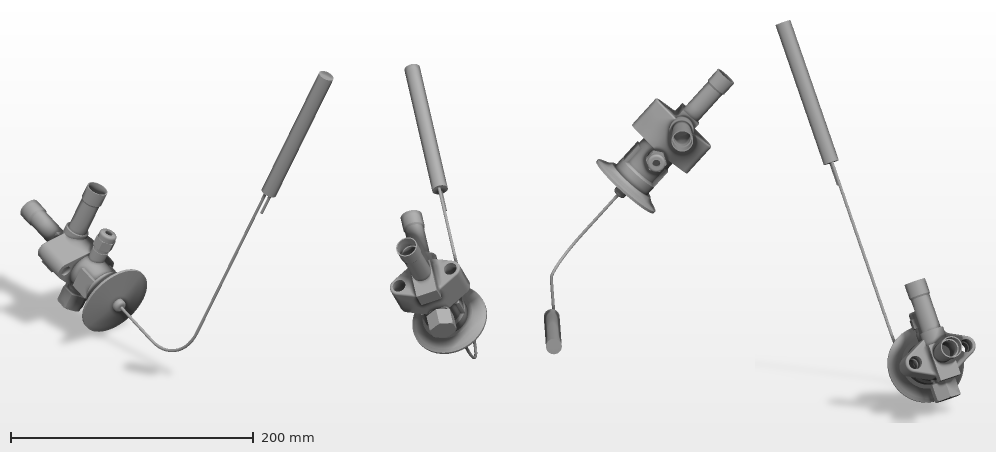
import cadquery as cq
import math

TILT = 16.4

TUBE_OD = 16.0
TUBE_BORE = 14.0
CUP_OD = 18.0
CUP_LENGTH = 12.0
CUP_TAPER = 1.5
INLET_END = 55.5
OUTLET_END = 63.7
BORE_FLOOR = 9.0

FLANGE_FRONT = -3.5
FLANGE_SPLIT = 13.5
FLANGE_BACK = 26.7
FLANGE_EDGE_FILLET = 1.5
HUB_RADIUS = 18.5
EAR_RADIUS = 8.2
EAR_OFFSET = 22.5
SCREW_CLEARANCE = 11.0
SCREW_CORE = 9.0

BLOCK_FRONT = -11.8
BLOCK_BACK = 2.5
BLOCK_WIDTH = 17.5
BLOCK_BOTTOM = -21.2
BLOCK_TOP = 9.7
BLOCK_ROOT_FILLET = 3.0
EDGE_SEARCH = 0.3
COLLAR_OD = 20.0
COLLAR_TOP = 21.2

BODY_OD = 32.0
PAD_FRONT = 35.0
PAD_HEIGHT = 18.2
PAD_WIDTH = 33.5

SHOULDER_OD = 35.8
SHOULDER_START = 50.7
SHOULDER_FULL = 52.8
DISH_ROOT = 61.5
DISH_ROOT_RADIUS = 21.2
DISH_EDGE_RADIUS = 29.0
DISH_SAG = 0.45
RIM_OD = 63.7
RIM_SLOPE = 1.2
RIM_FRONT = 66.0
RIM_BACK = 69.5
CROWN = 72.8
NUB_OD = 10.5
NUB_END = 78.3
NUB_FILLET = 2.5

NUT_X = 27.3
NUT_FLATS = 20.3
NUT_TOP = -20.5
NUT_BOTTOM = -35.2
NUT_CHAMFER = 1.0
NUT_BOSS_OD = 18.0
NUT_BOSS_END = -18.2
NUT_NECK_OD = 16.0

FLARE_X = 31.5
FLARE_BOSS_OD = 14.0
FLARE_BOSS_TOP = 24.3
FLARE_NECK_OD = 12.7
FLARE_HEX_BOTTOM = 28.0
FLARE_HEX_FLATS = 15.2
FLARE_HEX_TOP = 36.0
FLARE_TIP = 42.0
FLARE_TIP_OD = 15.0
FLARE_TIP_FILLET = 2.0
FLARE_HOLE = 6.5
FLARE_HOLE_DEPTH = 9.0

CAPILLARY_OD = 2.5
CAPILLARY_X = 161.5
BEND_RADIUS = 38.8
BULB_OD = 13.0
BULB_X = 164.0
BULB_BOTTOM = 187.5
BULB_LENGTH = 122.3
STUB_LENGTH = 19.5
JOINT_OVERLAP = 3.0


def upright(diameter, start, end, x=0.0):
    """Vertical cylinder standing at the given place on the valve axis."""
    return cq.Workplane("XY", origin=(x, 0, start)).circle(diameter / 2).extrude(end - start)


def axial(diameter, start, end, y=0.0):
    """Cylinder parallel to the valve axis."""
    return cq.Workplane("YZ", origin=(start, y, 0)).circle(diameter / 2).extrude(end - start)


def upright_cone(bottom_od, top_od, start, end, x=0.0):
    cone = cq.Solid.makeCone(bottom_od / 2, top_od / 2, end - start, cq.Vector(x, 0, start))
    return cq.Workplane("XY").add(cone)


def hexagon(flats, start, end, x):
    """Vertical hexagonal prism with a corner towards +X."""
    across_corners = flats / math.cos(math.pi / 6)
    return cq.Workplane("XY", origin=(x, 0, start)).polygon(6, across_corners).extrude(end - start)


def along_inlet(shape):
    """Turns an upright shape so that it points along the inlet, towards -X."""
    return shape.rotate((0, 0, 0), (0, 1, 0), -90)


def tube(end):
    cup_start = end - CUP_LENGTH
    taper = upright_cone(TUBE_OD, CUP_OD, cup_start - CUP_TAPER, cup_start)
    return upright(TUBE_OD, 0, end).union(taper).union(upright(CUP_OD, cup_start, end))


def tube_bore(end):
    return upright(TUBE_BORE, BORE_FLOOR, end).union(upright(TUBE_OD, end - CUP_LENGTH, end))


def flange():
    """Two ears joined to a round hub by straight tangent flanks."""
    slope = math.acos((HUB_RADIUS - EAR_RADIUS) / EAR_OFFSET)
    hub_y = HUB_RADIUS * math.cos(slope)
    hub_z = HUB_RADIUS * math.sin(slope)
    ear_y = EAR_OFFSET + EAR_RADIUS * math.cos(slope)
    ear_z = EAR_RADIUS * math.sin(slope)
    body = (
        cq.Workplane("YZ", origin=(FLANGE_FRONT, 0, 0))
        .moveTo(-hub_y, hub_z)
        .threePointArc((0, HUB_RADIUS), (hub_y, hub_z))
        .lineTo(ear_y, ear_z)
        .threePointArc((EAR_OFFSET + EAR_RADIUS, 0), (ear_y, -ear_z))
        .lineTo(hub_y, -hub_z)
        .threePointArc((0, -HUB_RADIUS), (-hub_y, -hub_z))
        .lineTo(-ear_y, -ear_z)
        .threePointArc((-EAR_OFFSET - EAR_RADIUS, 0), (-ear_y, ear_z))
        .close()
        .extrude(FLANGE_BACK - FLANGE_FRONT)
    )
    return body.faces("<X").edges().fillet(FLANGE_EDGE_FILLET)


def inlet_block():
    return cq.Workplane("XY", origin=(BLOCK_FRONT, 0, BLOCK_BOTTOM)).box(
        BLOCK_BACK - BLOCK_FRONT,
        BLOCK_WIDTH,
        BLOCK_TOP - BLOCK_BOTTOM,
        centered=(False, True, False),
    )


def block_root_edges():
    """Selectors for the two upright edges where the block meets the flange face."""
    return [
        cq.selectors.BoxSelector(
            (FLANGE_FRONT - EDGE_SEARCH, y - EDGE_SEARCH, BLOCK_BOTTOM),
            (FLANGE_FRONT + EDGE_SEARCH, y + EDGE_SEARCH, BLOCK_TOP),
        )
        for y in (-BLOCK_WIDTH / 2, BLOCK_WIDTH / 2)
    ]


def body_with_pads():
    pad_length = SHOULDER_FULL - PAD_FRONT
    pads = cq.Workplane("XY", origin=(PAD_FRONT, 0, 0)).box(
        pad_length, PAD_WIDTH, PAD_HEIGHT, centered=(False, True, True)
    )
    return axial(BODY_OD, 0, SHOULDER_FULL).union(pads)


def diaphragm_housing():
    """Shoulder, dished front, bevelled rim, conical back and capillary nub, turned about the axis."""
    dish_middle = (
        (DISH_ROOT + RIM_FRONT) / 2 + DISH_SAG,
        (DISH_ROOT_RADIUS + DISH_EDGE_RADIUS) / 2 - DISH_SAG,
    )
    housing = (
        cq.Workplane("XY")
        .moveTo(SHOULDER_START, 0)
        .lineTo(SHOULDER_START, BODY_OD / 2)
        .lineTo(SHOULDER_FULL, SHOULDER_OD / 2)
        .lineTo(DISH_ROOT, SHOULDER_OD / 2)
        .lineTo(DISH_ROOT, DISH_ROOT_RADIUS)
        .threePointArc(dish_middle, (RIM_FRONT, DISH_EDGE_RADIUS))
        .lineTo(RIM_FRONT + RIM_SLOPE, RIM_OD / 2)
        .lineTo(RIM_BACK, RIM_OD / 2)
        .lineTo(CROWN, NUB_OD / 2)
        .lineTo(CROWN, 0)
        .close()
        .revolve(360, (0, 0, 0), (1, 0, 0))
    )
    nub = axial(NUB_OD, RIM_BACK, NUB_END).faces(">X").edges().fillet(NUB_FILLET)
    return housing.union(nub)


def cap_nut():
    hexagonal = hexagon(NUT_FLATS, NUT_BOTTOM, NUT_TOP, NUT_X)
    corner_od = NUT_FLATS / math.cos(math.pi / 6)
    rounding = upright(corner_od, NUT_BOTTOM, NUT_TOP, NUT_X).faces("<Z").chamfer(NUT_CHAMFER)
    neck = upright(NUT_NECK_OD, NUT_TOP, 0, NUT_X)
    boss = upright(NUT_BOSS_OD, NUT_BOSS_END, 0, NUT_X)
    return hexagonal.intersect(rounding).union(neck).union(boss)


def flare_cap():
    boss = upright(FLARE_BOSS_OD, 0, FLARE_BOSS_TOP, FLARE_X)
    neck = upright(FLARE_NECK_OD, 0, FLARE_HEX_BOTTOM, FLARE_X)
    hexagonal = hexagon(FLARE_HEX_FLATS, FLARE_HEX_BOTTOM, FLARE_HEX_TOP, FLARE_X)
    tip = upright(FLARE_TIP_OD, FLARE_HEX_TOP, FLARE_TIP, FLARE_X)
    tip = tip.faces(">Z").edges().fillet(FLARE_TIP_FILLET)
    hole = upright(FLARE_HOLE, FLARE_TIP - FLARE_HOLE_DEPTH, FLARE_TIP, FLARE_X)
    return boss.union(neck).union(hexagonal).union(tip).cut(hole)


def capillary():
    """Tube leaving the nub along the axis and bending up into the bulb."""
    start = NUB_END - JOINT_OVERLAP
    path = (
        cq.Workplane("XZ")
        .moveTo(start, 0)
        .lineTo(CAPILLARY_X - BEND_RADIUS, 0)
        .radiusArc((CAPILLARY_X, BEND_RADIUS), -BEND_RADIUS)
        .lineTo(CAPILLARY_X, BULB_BOTTOM + JOINT_OVERLAP)
    )
    return cq.Workplane("YZ", origin=(start, 0, 0)).circle(CAPILLARY_OD / 2).sweep(path)


def sensing_bulb():
    """Bulb with its sealed filling stub, which mirrors the capillary about the bulb axis."""
    stub_x = 2 * BULB_X - CAPILLARY_X
    stub = upright(CAPILLARY_OD, BULB_BOTTOM - STUB_LENGTH, BULB_BOTTOM + JOINT_OVERLAP, stub_x)
    return upright(BULB_OD, BULB_BOTTOM, BULB_BOTTOM + BULB_LENGTH, BULB_X).union(stub)


valve = flange().union(inlet_block())
for root_edge in block_root_edges():
    valve = valve.edges("|Z").edges(root_edge).fillet(BLOCK_ROOT_FILLET)
valve = valve.union(upright(COLLAR_OD, 0, COLLAR_TOP)).union(body_with_pads())
valve = valve.union(diaphragm_housing())
for side in (-EAR_OFFSET, EAR_OFFSET):
    valve = valve.cut(axial(SCREW_CLEARANCE, FLANGE_FRONT, FLANGE_SPLIT, side))
    valve = valve.cut(axial(SCREW_CORE, FLANGE_SPLIT, FLANGE_BACK, side))

valve = valve.union(tube(OUTLET_END)).union(along_inlet(tube(INLET_END)))
valve = valve.cut(tube_bore(OUTLET_END)).cut(along_inlet(tube_bore(INLET_END)))
valve = valve.union(cap_nut()).union(flare_cap())
valve = valve.union(capillary()).union(sensing_bulb())

result = valve.rotate((0, 0, 0), (1, 0, 0), -TILT).rotate((0, 0, 0), (0, 1, 0), TILT)